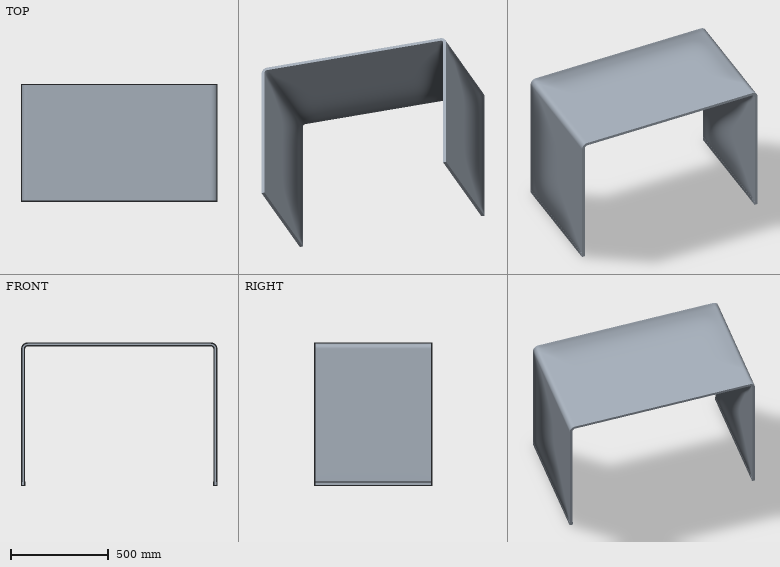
import cadquery as cq

shell_length = 1000.0
shell_depth = 600.0
shell_height = 730.0
sheet_thickness = 15.0
outer_bend_radius = 30.0
inner_bend_radius = outer_bend_radius - sheet_thickness

cap_wall = 1.0
cap_height = 20.0


def make_shell():
    """Bent sheet: a flat top with two legs, with leg ends at Z = 0."""
    outer = (
        cq.Workplane("XY")
        .box(shell_length, shell_depth, shell_height, centered=(True, True, False))
        .edges("|Y and >Z")
        .fillet(outer_bend_radius)
    )
    inner = (
        cq.Workplane("XY")
        .box(
            shell_length - 2 * sheet_thickness,
            shell_depth,
            shell_height - sheet_thickness,
            centered=(True, True, False),
        )
        .edges("|Y and >Z")
        .fillet(inner_bend_radius)
    )
    return outer.cut(inner)


def make_foot_cap(side):
    """U-shaped cap on one leg; side is -1 for the -X leg and +1 for the +X leg."""
    leg_center_x = side * (shell_length - sheet_thickness) / 2
    cap_width = sheet_thickness + 2 * cap_wall
    cap = cq.Workplane("XY").box(cap_width, shell_depth, cap_height, centered=(True, True, False))
    leg_slot = (
        cq.Workplane("XY")
        .box(sheet_thickness, shell_depth, cap_height, centered=(True, True, False))
        .translate((0, 0, cap_wall))
    )
    return cap.cut(leg_slot).translate((leg_center_x, 0, -cap_wall))


shell = make_shell()
foot_caps = [make_foot_cap(side) for side in (-1, 1)]

result = cq.Compound.makeCompound([shell.val(), *[cap.val() for cap in foot_caps]])